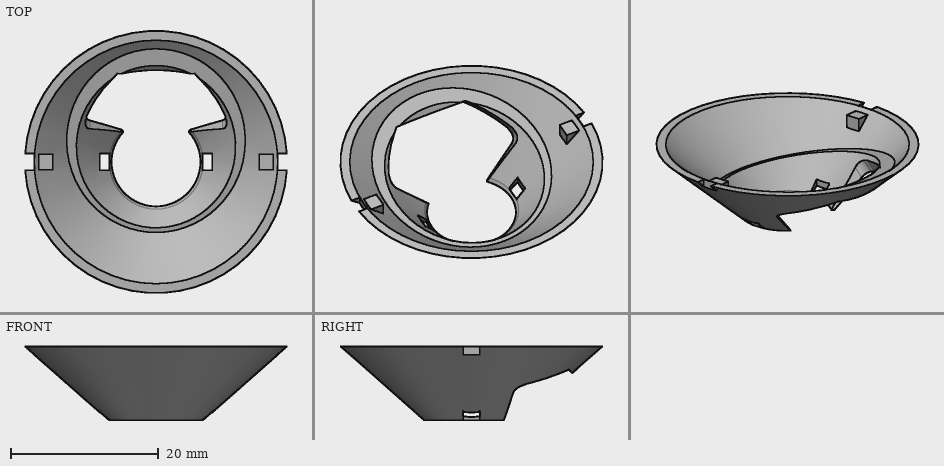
import cadquery as cq
import math

height = 10.0
rim_radius = 17.75
rim_inner_radius = 16.47
mouth_radius = 6.4
mouth_inner_radius = 6.0
lip_height = 0.55
lip_top_radius = 6.35

bore_top_radius = 14.4
ledge_axis_depth = 4.5
ledge_tilt = 12.5

slot_width = 2.25
rim_slot_depth = 1.17
window_inner_x = 6.32
window_outer_x = 7.6
window_height = 2.13
block_width = 2.13
block_inner_x = 13.95
block_outer_x = 15.87

opening_tilt = 45.0
opening_top = (5.25, 7.1)
opening_bulge = (7.88, 4.2)
opening_shoulder = (9.37, 1.75)
opening_corner = (9.73, 0.15)
opening_tip = (0, -7.77)
opening_corner_radius = 1.6

clearance = 35.5


def revolved(outer_points):
    """Solid of revolution about Z from (radius, Z) points listed upwards."""
    bottom_z = outer_points[0][1]
    top_z = outer_points[-1][1]
    profile = [(0, bottom_z)] + outer_points + [(0, top_z)]
    return cq.Workplane("XZ").polyline(profile).close().revolve(360, (0, 0), (0, 1))


def cone(bottom_radius, top_radius):
    """Coaxial solid cone spanning the full height."""
    return revolved([(bottom_radius, 0), (top_radius, height)])


def box_between(x_min, x_max, width, z_min, z_max):
    """Box centred on Y = 0 between the given X and Z limits."""
    box = cq.Workplane("XY").box(x_max - x_min, width, z_max - z_min, centered=(False, True, False))
    return box.translate((x_min, 0, z_min))


def both_sides(body):
    """The body together with its mirror image across the YZ plane."""
    return body.union(body.mirror("YZ"))


def upper_cavity():
    """Wide inner cone, kept only above the tilted ledge plane."""
    above_ledge = (
        cq.Workplane("XY")
        .box(2 * clearance, 2 * clearance, clearance, centered=(True, True, False))
        .rotate((0, 0, 0), (1, 0, 0), ledge_tilt)
        .translate((0, 0, height - ledge_axis_depth))
    )
    return cone(mouth_inner_radius, rim_inner_radius).intersect(above_ledge)


def lower_bore():
    """Narrow inner cone with a steeper lip at the mouth."""
    return revolved([
        (mouth_inner_radius, 0),
        (lip_top_radius, lip_height),
        (bore_top_radius, height),
    ])


def wall_opening():
    """Rounded opening cut obliquely through the +Y wall."""
    tilt = math.radians(opening_tilt)
    slope_plane = cq.Plane(
        origin=(0, 0, height),
        xDir=(1, 0, 0),
        normal=(0, -math.sin(tilt), math.cos(tilt)),
    )
    half = (
        cq.Workplane(slope_plane)
        .moveTo(0, opening_top[1])
        .lineTo(*opening_top)
        .threePointArc(opening_bulge, opening_shoulder)
        .lineTo(*opening_corner)
        .lineTo(*opening_tip)
        .close()
        .extrude(clearance, both=True)
    )
    corner = slope_plane.toWorldCoords(opening_corner)
    half = half.edges(cq.selectors.NearestToPointSelector(corner.toTuple())).fillet(opening_corner_radius)
    return both_sides(half)


shell = cone(mouth_radius, rim_radius)
shell = shell.cut(upper_cavity()).cut(lower_bore()).cut(wall_opening())

rim_slot = box_between(rim_inner_radius, rim_radius, slot_width, height - rim_slot_depth, height)
window = box_between(window_inner_x, window_outer_x, slot_width, 0, window_height)
shell = shell.cut(both_sides(rim_slot)).cut(both_sides(window))

inner_wall_rise = height / (rim_inner_radius - mouth_inner_radius)
block_top = height - (rim_inner_radius - block_outer_x) * inner_wall_rise
block_bottom = height - (rim_inner_radius - block_inner_x) * inner_wall_rise
block = box_between(block_inner_x, block_outer_x, block_width, block_bottom, block_top)
block = block.intersect(cone(mouth_radius, rim_radius))

result = shell.union(both_sides(block))